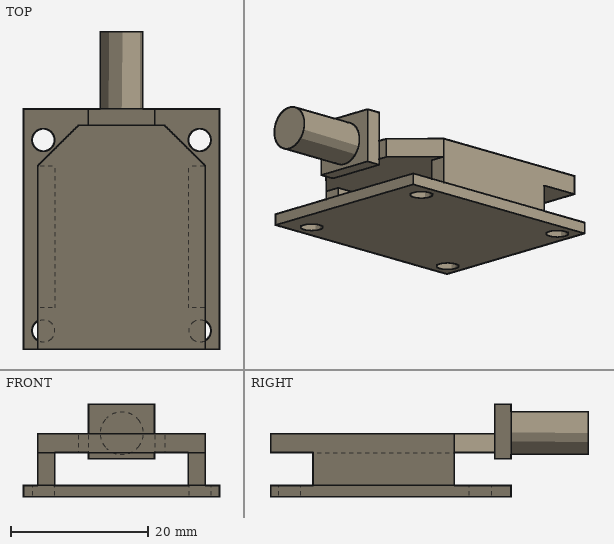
import cadquery as cq

base_width = 28.6
base_length = 35.0
base_thickness = 1.65

hole_diameter = 3.25
hole_spacing_x = 22.75
hole_spacing_y = 27.75
hole_front_offset = 2.75

plate_width = 24.37
plate_thickness = 2.78
plate_corner_x = 5.9
plate_corner_y = 5.87
rail_width = 2.5
rail_height = 4.75
rail_front = 6.15

flange_width = 9.6
flange_thickness = 2.4
flange_height = 7.95
overall_height = 13.5
overall_length = 46.25
barrel_diameter = 6.25
barrel_height = 9.3

plate_bottom = base_thickness + rail_height
plate_length = base_length - flange_thickness
rail_length = plate_length - plate_corner_y - rail_front
flange_bottom = overall_height - flange_height
barrel_length = overall_length - base_length


def box_on_centre(width, length, height, front, bottom, centre_x=0):
    """Box centred on centre_x, with its front face and underside placed."""
    box = cq.Workplane("XY").box(width, length, height, centered=(True, False, False))
    return box.translate((centre_x, front, bottom))


def make_base():
    board = box_on_centre(base_width, base_length, base_thickness, 0, 0)
    holes = (
        cq.Workplane("XY")
        .center(0, hole_front_offset + hole_spacing_y / 2)
        .rect(hole_spacing_x, hole_spacing_y, forConstruction=True)
        .vertices()
        .circle(hole_diameter / 2)
        .extrude(base_thickness)
    )
    return board.cut(holes)


def make_plate():
    side = plate_width / 2
    rear_side = side - plate_corner_x
    shoulder = plate_length - plate_corner_y
    outline = [
        (-side, 0),
        (side, 0),
        (side, shoulder),
        (rear_side, plate_length),
        (-rear_side, plate_length),
        (-side, shoulder),
    ]
    return (
        cq.Workplane("XY")
        .workplane(offset=plate_bottom)
        .polyline(outline)
        .close()
        .extrude(plate_thickness)
    )


def make_rail(side):
    rail_x = side * (plate_width - rail_width) / 2
    return box_on_centre(rail_width, rail_length, rail_height, rail_front, base_thickness, rail_x)


def make_connector():
    flange = box_on_centre(flange_width, flange_thickness, flange_height, plate_length, flange_bottom)
    barrel = (
        cq.Workplane("XZ", origin=(0, base_length, barrel_height))
        .circle(barrel_diameter / 2)
        .extrude(-barrel_length)
    )
    return flange.union(barrel)


result = make_base().union(make_plate())
for side in (-1, 1):
    result = result.union(make_rail(side))
result = result.union(make_connector())